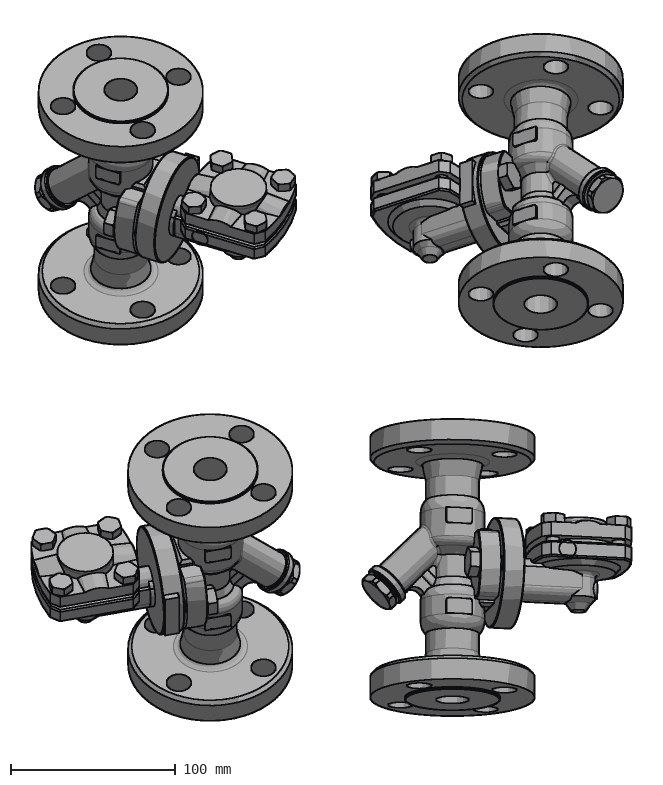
import cadquery as cq
import math

HALF_LENGTH = 82.5
BORE_D = 20.0
BORE_DEPTH = 42.0
PIPE_R = 16.25
BODY_R = 19.5
NECK_R = 12.0

FLANGE_R = 50.0
FLANGE_THICK = 15.2
FLANGE_CHAMFER = 2.3
RAISED_R = 29.0
RAISED_HEIGHT = 1.4
RAISED_CHAMFER = 0.5
HUB_BASE_R = 22.5
HUB_TOP_R = 18.3
HUB_FILLET_HEIGHT = 2.2
HUB_HEIGHT = 12.0
FLANGE_HOLE_D = 15.0
FLANGE_HOLE_PCD = 75.0
FLANGE_HOLE_COUNT = 4
FLANGE_HOLE_TURN = 45.0

SHOULDER_OUTER_Z = 41.5
SHOULDER_INNER_Z = 33.0
SHOULDER_MID_R = 18.7
SHOULDER_MID_Z = 38.0
UPPER_BODY_BOTTOM_Z = 15.7
UPPER_ROUND_END_Z = 10.4
UPPER_ROUND_END_R = 16.3
NECK_TOP_Z = 5.5
NECK_BOTTOM_Z = -8.2
LOWER_BODY_TOP_Z = -20.9
DOME_TOP_R = 14.3
DOME_TOP_Z = -13.7
DOME_ROUND = 7.7

PAD_WIDTH = 16.0
PAD_HEIGHT = 9.6
PAD_CORNER_R = 1.6

BRANCH_ORIGIN_Z = 28.0
BRANCH_ANGLE = 45.0
BRANCH_D = 23.0
BRANCH_FILLET = 2.0
COLLAR_D = 27.0
COLLAR_CHAMFER = 0.8
CAP_DISC_D = 21.0
CAP_HEX_CORNERS = 25.0
CAP_FACE_D = 23.0
COLLAR_START = 54.8
COLLAR_END = 60.3
CAP_HEX_START = 61.6
CAP_HEX_END = 67.25
DRAIN_D = 10.5
DRAIN_START = 36.4
WEB_THICK = 9.0
WEB_START_X = -29.5
WEB_ARCH_X = -24.0
WEB_ARCH_Z = -14.4
WEB_START_Z = -16.7
WEB_END_X = -18.5
WEB_END_Z = -19.0

CONNECTOR_Z = -2.0
CONNECTOR_R = 33.5
BODY_FLANGE_X0 = 10.0
BODY_FLANGE_X1 = 22.9
BODY_FLANGE_R = 33.0
BODY_FLANGE_HALF_HEIGHT = 20.5
BODY_FLANGE_FILLET = 4.0
BODY_FLANGE_CHAMFER = 0.6
TRAP_FLANGE_X0 = 24.5
TRAP_FLANGE_X1 = 37.7
TRAP_FLANGE_CHAMFER = 0.6
SEAT_D = 35.0
HUB_BLOCK_HALF_WIDTH = 14.0
HUB_BLOCK_HALF_HEIGHT = 24.2
HUB_BLOCK_CHAMFER = 2.0
FLANGE_BOLT_Y = 25.5
FLANGE_BOLT_D = 9.5
FLANGE_BOLT_FLATS = 16.0
FLANGE_BOLT_HEAD = 6.2
HEAD_CHAMFER = 0.5
NAME_PAD_Y = 33.9
NAME_PAD_HEIGHT = 30.0
NAME_PAD_WIDTH = 9.0
NAME_PAD_DEPTH = 5.0

TRAP_X = 78.4
PLATE_HALF = 28.0
PLATE_BOW = 30.8
PLATE_CORNER = 5.0
LOWER_PLATE_Z0 = 3.7
LOWER_PLATE_Z1 = 13.5
COVER_Z0 = 16.7
COVER_Z1 = 25.1
PLATE_EDGE_CHAMFER = 1.0
GASKET_D = 45.8
COVER_BOLT_OFFSET = 20.5
COVER_BOLT_D = 8.0
COVER_BOLT_FLATS = 13.0
COVER_BOLT_TOP_Z = 30.9
CAP_TOP_D = 34.0
CAP_BASE_D = 35.0
CAP_TOP_Z = 31.4
CAP_STRAIGHT_HEIGHT = 2.0
RIB_INNER_WIDTH = 18.0
RIB_INNER_HEIGHT = 4.9
RIB_OUTER_WIDTH = 15.0
RIB_OUTER_HEIGHT = 1.9
RIB_START = 14.0
BADGE_D = 10.5
BADGE_OFFSET = 13.0
BADGE_HEIGHT = 0.4
BOWL_STEP_Z = 0.2
BOWL_BOTTOM_Z = -3.5
BOWL_TOP_R = 25.5
BOWL_STEP_R = 22.5
BOWL_NECK_ROUND = 2.5
BOWL_NECK_DROP = 0.6
STEM_R = 10.25
STEM_BOTTOM_Z = -16.0
PLUG_R = 7.5
PLUG_TAPER_R = 4.5
PLUG_SHOULDER_Z = -19.0
PLUG_BOTTOM_Z = -23.3
SIDE_BOSS_D = 10.5
SIDE_BOSS_Z = -10.2
SIDE_BOSS_REACH = 11.3
SIDE_BOSS_ANGLE = -9.0

ARM_TOP_Z = 0.8
ARM_BOTTOM_Z = -18.4
ARM_LOWER_ROUND = 7.5
OUTLET_D = 16.0
OUTLET_Z = -0.3
INLET_FOOT_D = 25.0
INLET_FOOT_Z = -6.5
FOOT_LENGTH = 2.7


def rod_x(x0, x1, diameter, y=0.0, z=0.0):
    """Cylinder along X."""
    return cq.Workplane("YZ", origin=(x0, y, z)).circle(diameter / 2).extrude(x1 - x0)


def rod_z(z0, z1, diameter, x=0.0, y=0.0):
    """Cylinder along Z."""
    return cq.Workplane("XY", origin=(x, y, z0)).circle(diameter / 2).extrude(z1 - z0)


def hexagon(plane, flats, turn):
    """Hexagon across `flats`, its first corner turned from the local x axis."""
    corner_r = flats / math.sqrt(3)
    corners = []
    for i in range(6):
        angle = math.radians(turn + 60 * i)
        corners.append((corner_r * math.cos(angle), corner_r * math.sin(angle)))
    return plane.polyline(corners).close()


def bolt_head(plane, flats, turn, height):
    """Hexagon bolt head with its corners chamfered."""
    head = hexagon(plane, flats, turn).extrude(height)
    envelope = plane.circle(flats / math.sqrt(3)).extrude(height).edges().chamfer(HEAD_CHAMFER)
    return head.intersect(envelope)


def pipe_end():
    """Top flange with raised face, tapered hub and pipe, turned about Z."""
    raised_z = HALF_LENGTH - RAISED_HEIGHT
    back_z = raised_z - FLANGE_THICK
    profile = (
        cq.Workplane("XZ")
        .moveTo(0, HALF_LENGTH)
        .lineTo(RAISED_R - RAISED_CHAMFER, HALF_LENGTH)
        .lineTo(RAISED_R, HALF_LENGTH - RAISED_CHAMFER)
        .lineTo(RAISED_R, raised_z)
        .lineTo(FLANGE_R, raised_z)
        .lineTo(FLANGE_R, back_z + FLANGE_CHAMFER)
        .lineTo(FLANGE_R - FLANGE_CHAMFER, back_z)
        .lineTo(HUB_BASE_R, back_z)
        .tangentArcPoint((HUB_TOP_R, back_z - HUB_FILLET_HEIGHT), relative=False)
        .lineTo(PIPE_R, back_z - HUB_HEIGHT)
        .lineTo(PIPE_R, SHOULDER_OUTER_Z)
        .lineTo(0, SHOULDER_OUTER_Z)
        .close()
    )
    return profile.revolve(360, (0, 0, 0), (0, 1, 0))


def flange_holes():
    """Bolt holes through one end flange."""
    return (
        cq.Workplane("XY", origin=(0, 0, HALF_LENGTH - 2 * FLANGE_THICK))
        .polarArray(FLANGE_HOLE_PCD / 2, FLANGE_HOLE_TURN, 360, FLANGE_HOLE_COUNT)
        .circle(FLANGE_HOLE_D / 2)
        .extrude(2 * FLANGE_THICK)
    )


def end_bore():
    """Blind bore from the raised face."""
    return rod_z(HALF_LENGTH - BORE_DEPTH, HALF_LENGTH, BORE_D)


def body_shell():
    """Two rounded chambers joined by a neck, turned about Z."""
    return (
        cq.Workplane("XZ")
        .moveTo(0, SHOULDER_OUTER_Z)
        .lineTo(PIPE_R, SHOULDER_OUTER_Z)
        .threePointArc((SHOULDER_MID_R, SHOULDER_MID_Z), (BODY_R, SHOULDER_INNER_Z))
        .lineTo(BODY_R, UPPER_BODY_BOTTOM_Z)
        .tangentArcPoint((UPPER_ROUND_END_R, UPPER_ROUND_END_Z), relative=False)
        .lineTo(NECK_R, NECK_TOP_Z)
        .lineTo(NECK_R, NECK_BOTTOM_Z)
        .lineTo(DOME_TOP_R, DOME_TOP_Z)
        .radiusArc((BODY_R, LOWER_BODY_TOP_Z), DOME_ROUND)
        .lineTo(BODY_R, -SHOULDER_INNER_Z)
        .threePointArc((SHOULDER_MID_R, -SHOULDER_MID_Z), (PIPE_R, -SHOULDER_OUTER_Z))
        .lineTo(0, -SHOULDER_OUTER_Z)
        .close()
        .revolve(360, (0, 0, 0), (0, 1, 0))
    )


def wrench_pads(top_z, rounded_side):
    """Flat pads on the front and back of a chamber, rounded towards the neck."""
    center_z = top_z - PAD_HEIGHT / 2
    return (
        cq.Workplane("XY")
        .box(PAD_WIDTH, 2 * BODY_R, PAD_HEIGHT)
        .edges("|Y")
        .edges(rounded_side)
        .fillet(PAD_CORNER_R)
        .translate((0, 0, center_z))
    )


def branch_plane(distance):
    """Plane square to the branch axis, at a distance along it."""
    slope = math.radians(BRANCH_ANGLE)
    axis = (-math.cos(slope), 0, -math.sin(slope))
    origin = (distance * axis[0], 0, BRANCH_ORIGIN_Z + distance * axis[2])
    return cq.Workplane(cq.Plane(origin=origin, xDir=(0, 1, 0), normal=axis))


def chambers_with_branch():
    """Chambers and sloping branch tube, blended where they meet."""
    tube = branch_plane(0).circle(BRANCH_D / 2).extrude(COLLAR_START)
    joined = body_shell().union(tube)
    return joined.edges("%BSPLINE").fillet(BRANCH_FILLET)


def screen_cap():
    """Collar and chamfered hexagonal cap on the end of the branch."""
    collar = branch_plane(COLLAR_START).circle(COLLAR_D / 2).extrude(COLLAR_END - COLLAR_START)
    collar = collar.edges().chamfer(COLLAR_CHAMFER)
    disc = branch_plane(COLLAR_END).circle(CAP_DISC_D / 2).extrude(CAP_HEX_START - COLLAR_END)
    height = CAP_HEX_END - CAP_HEX_START
    cap = hexagon(branch_plane(CAP_HEX_START), CAP_FACE_D, 30).extrude(height)
    envelope = branch_plane(CAP_HEX_START).circle(CAP_HEX_CORNERS / 2).extrude(height)
    envelope = envelope.edges().chamfer((CAP_HEX_CORNERS - CAP_FACE_D) / 2)
    return collar.union(disc).union(cap.intersect(envelope))


def drain_web():
    """Arched web and round passage between the branch and the lower chamber."""
    web = (
        cq.Workplane("XZ", origin=(0, WEB_THICK / 2, 0))
        .moveTo(WEB_START_X, WEB_START_Z)
        .threePointArc((WEB_ARCH_X, WEB_ARCH_Z), (WEB_END_X, WEB_END_Z))
        .lineTo(0, WEB_END_Z)
        .lineTo(0, BRANCH_ORIGIN_Z / 2)
        .close()
        .extrude(WEB_THICK)
    )
    drain_start = branch_plane(DRAIN_START).val().Center()
    slope = math.radians(BRANCH_ANGLE)
    drain_plane = cq.Plane(
        origin=drain_start.toTuple(), xDir=(0, 1, 0), normal=(math.sin(slope), 0, -math.cos(slope))
    )
    passage = cq.Workplane(drain_plane).circle(DRAIN_D / 2).extrude(BRANCH_D)
    return web.union(passage)


def body_flange():
    """Body connector flange: a disc cut flat above and below, with a raised hub."""
    thick = BODY_FLANGE_X1 - BODY_FLANGE_X0
    disc = rod_x(BODY_FLANGE_X0, BODY_FLANGE_X1, 2 * BODY_FLANGE_R, 0, CONNECTOR_Z)
    center = (BODY_FLANGE_X0 + thick / 2, 0, CONNECTOR_Z)
    slab = cq.Workplane("XY").box(thick, 2 * BODY_FLANGE_R, 2 * BODY_FLANGE_HALF_HEIGHT)
    flange = disc.intersect(slab.translate(center))
    flange = flange.faces("<Z or >Z").edges("|X").fillet(BODY_FLANGE_FILLET)
    flange = flange.faces("<X").chamfer(BODY_FLANGE_CHAMFER)
    hub = (
        cq.Workplane("XY")
        .box(thick, 2 * HUB_BLOCK_HALF_WIDTH, 2 * HUB_BLOCK_HALF_HEIGHT)
        .faces("<Z or >Z")
        .chamfer(HUB_BLOCK_CHAMFER)
        .translate(center)
    )
    return flange.union(hub)


def trap_flange():
    """Round trap connector flange with its seat and a name pad on the back."""
    flange = rod_x(TRAP_FLANGE_X0, TRAP_FLANGE_X1, 2 * CONNECTOR_R, 0, CONNECTOR_Z)
    flange = flange.edges().chamfer(TRAP_FLANGE_CHAMFER)
    seat = rod_x(BODY_FLANGE_X1, TRAP_FLANGE_X0, SEAT_D, 0, CONNECTOR_Z)
    pad = cq.Workplane("XY").box(NAME_PAD_WIDTH, NAME_PAD_DEPTH, NAME_PAD_HEIGHT)
    pad_x = TRAP_FLANGE_X1 - TRAP_FLANGE_CHAMFER - NAME_PAD_WIDTH / 2
    pad = pad.translate((pad_x, NAME_PAD_Y - NAME_PAD_DEPTH / 2, CONNECTOR_Z))
    return flange.union(seat).union(pad)


def flange_bolt(y):
    """Hexagon bolt joining the two connector flanges."""
    head_plane = cq.Workplane("YZ", origin=(BODY_FLANGE_X0 - FLANGE_BOLT_HEAD, y, CONNECTOR_Z))
    head = bolt_head(head_plane, FLANGE_BOLT_FLATS, 90, FLANGE_BOLT_HEAD)
    shank = rod_x(BODY_FLANGE_X0, TRAP_FLANGE_X0, FLANGE_BOLT_D, y, CONNECTOR_Z)
    return head.union(shank)


def trap_plate(z0, z1):
    """Square plate with cut corners and slightly bowed +X and -X sides."""
    flat = PLATE_HALF - PLATE_CORNER
    return (
        cq.Workplane("XY", origin=(TRAP_X, 0, z0))
        .moveTo(-flat, -PLATE_HALF)
        .lineTo(flat, -PLATE_HALF)
        .lineTo(PLATE_HALF, -flat)
        .threePointArc((PLATE_BOW, 0), (PLATE_HALF, flat))
        .lineTo(flat, PLATE_HALF)
        .lineTo(-flat, PLATE_HALF)
        .lineTo(-PLATE_HALF, flat)
        .threePointArc((-PLATE_BOW, 0), (-PLATE_HALF, -flat))
        .close()
        .extrude(z1 - z0)
    )


def cover_rib(turn, reach):
    """Rounded rib on the cover, falling from the dome to the edge of the plate."""
    inner = cq.Workplane("YZ", origin=(RIB_START, 0, COVER_Z1))
    rib = (
        inner.moveTo(-RIB_INNER_WIDTH / 2, 0)
        .threePointArc((0, RIB_INNER_HEIGHT), (RIB_INNER_WIDTH / 2, 0))
        .close()
        .workplane(offset=reach - RIB_START)
        .moveTo(-RIB_OUTER_WIDTH / 2, 0)
        .threePointArc((0, RIB_OUTER_HEIGHT), (RIB_OUTER_WIDTH / 2, 0))
        .close()
        .loft(ruled=True)
    )
    return rib.rotate((0, 0, 0), (0, 0, 1), turn).translate((TRAP_X, 0, 0))


def cover_dome():
    """Round dome in the middle of the cover, turned about the trap axis."""
    return (
        cq.Workplane("XZ", origin=(TRAP_X, 0, 0))
        .moveTo(0, COVER_Z1)
        .lineTo(CAP_BASE_D / 2, COVER_Z1)
        .lineTo(CAP_TOP_D / 2, CAP_TOP_Z - CAP_STRAIGHT_HEIGHT)
        .lineTo(CAP_TOP_D / 2, CAP_TOP_Z)
        .lineTo(0, CAP_TOP_Z)
        .close()
        .revolve(360, (0, 0, 0), (0, 1, 0))
    )


def cover_bolt(side_x, side_y):
    """Hexagon bolt through the cover; every other head is turned by 30 degrees."""
    x = TRAP_X + side_x * COVER_BOLT_OFFSET
    y = side_y * COVER_BOLT_OFFSET
    turn = 90 if side_x == side_y else 0
    head_plane = cq.Workplane("XY", origin=(x, y, COVER_Z1))
    head = bolt_head(head_plane, COVER_BOLT_FLATS, turn, COVER_BOLT_TOP_Z - COVER_Z1)
    return head.union(rod_z(LOWER_PLATE_Z1, COVER_Z0, COVER_BOLT_D, x, y))


def trap_bowl():
    """Underside of the trap: stepped bowl, stem and bottom plug."""
    return (
        cq.Workplane("XZ", origin=(TRAP_X, 0, 0))
        .moveTo(0, LOWER_PLATE_Z0)
        .lineTo(BOWL_TOP_R, LOWER_PLATE_Z0)
        .lineTo(BOWL_STEP_R, BOWL_STEP_Z)
        .lineTo(STEM_R + BOWL_NECK_ROUND, BOWL_STEP_Z - BOWL_NECK_DROP)
        .tangentArcPoint((STEM_R, BOWL_BOTTOM_Z), relative=False)
        .lineTo(STEM_R, STEM_BOTTOM_Z)
        .lineTo(PLUG_R, PLUG_SHOULDER_Z)
        .lineTo(PLUG_TAPER_R, PLUG_BOTTOM_Z)
        .lineTo(0, PLUG_BOTTOM_Z)
        .close()
        .revolve(360, (0, 0, 0), (0, 1, 0))
    )


def side_boss():
    """Round plug on the side of the stem."""
    boss = rod_x(0, SIDE_BOSS_REACH, SIDE_BOSS_D, 0, SIDE_BOSS_Z)
    return boss.rotate((0, 0, 0), (0, 0, 1), SIDE_BOSS_ANGLE).translate((TRAP_X, 0, 0))


def badge():
    """Round badge on the front of the lower plate."""
    center_z = (LOWER_PLATE_Z0 + LOWER_PLATE_Z1) / 2
    plane = cq.Workplane("XZ", origin=(TRAP_X - BADGE_OFFSET, -PLATE_HALF, center_z))
    return plane.circle(BADGE_D / 2).extrude(BADGE_HEIGHT)


def trap_arm():
    """Inlet arm and outlet passage between the trap flange and the stem."""
    length = TRAP_X - TRAP_FLANGE_X1
    height = ARM_TOP_Z - ARM_BOTTOM_Z
    center = (TRAP_FLANGE_X1 + length / 2, 0, ARM_BOTTOM_Z + height / 2)
    arm = cq.Workplane("XY").box(length, 2 * STEM_R, height)
    arm = arm.edges("|X and <Z").fillet(ARM_LOWER_ROUND).translate(center)
    outlet = rod_x(TRAP_FLANGE_X1, TRAP_X, OUTLET_D, 0, OUTLET_Z)
    foot = rod_x(TRAP_FLANGE_X1, TRAP_FLANGE_X1 + FOOT_LENGTH, INLET_FOOT_D, 0, INLET_FOOT_Z)
    return arm.union(outlet).union(foot)


def steam_trap():
    """Trap body, cover, bolts, bowl and arm."""
    lower = trap_plate(LOWER_PLATE_Z0, LOWER_PLATE_Z1)
    lower = lower.faces("<Z or >Z").chamfer(PLATE_EDGE_CHAMFER)
    trap = lower.union(trap_plate(COVER_Z0, COVER_Z1))
    trap = trap.union(rod_z(LOWER_PLATE_Z1, COVER_Z0, GASKET_D, TRAP_X))
    trap = trap.union(cover_dome())
    for turn in (0, 90, 180, 270):
        reach = PLATE_HALF if turn % 180 else PLATE_BOW
        trap = trap.union(cover_rib(turn, reach))
    for side_x in (-1, 1):
        for side_y in (-1, 1):
            trap = trap.union(cover_bolt(side_x, side_y))
    for feature in (trap_bowl(), side_boss(), badge(), trap_arm()):
        trap = trap.union(feature)
    return trap


def valve_body():
    """Pipe run with its end flanges, chambers and strainer branch."""
    end = pipe_end().cut(flange_holes())
    body = chambers_with_branch().union(end).union(end.mirror("XY"))
    body = body.union(wrench_pads(SHOULDER_INNER_Z, "<Z"))
    body = body.union(wrench_pads(PAD_HEIGHT - SHOULDER_INNER_Z, ">Z"))
    body = body.union(screen_cap()).union(drain_web())
    return body.cut(end_bore()).cut(end_bore().mirror("XY"))


result = valve_body().union(body_flange()).union(trap_flange())
for bolt_y in (-FLANGE_BOLT_Y, FLANGE_BOLT_Y):
    result = result.union(flange_bolt(bolt_y))
result = result.union(steam_trap())